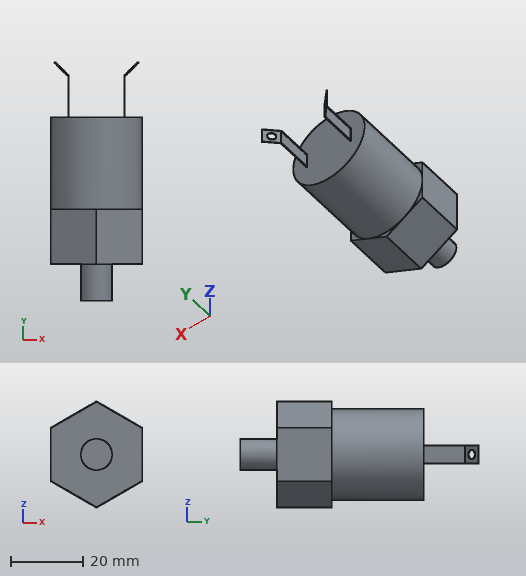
import cadquery as cq
import math

HEX_SIDES = 6
ACROSS_FLATS = 25.4
HEX_LENGTH = 15.24

BODY_DIAMETER = ACROSS_FLATS
BODY_LENGTH = 25.4

PIN_DIAMETER = 8.636
PIN_LENGTH = 10.16

TERMINAL_REACH = 15.24
TERMINAL_WIDTH = 5.08
TERMINAL_THICKNESS = 0.254
TERMINAL_INNER_X = 7.62
BEND_ANGLE = math.radians(45)
TIP_REACH = 3.81
TERMINAL_HOLE_DIAMETER = 2.54

HEX_FRONT_Y = PIN_LENGTH
BODY_FRONT_Y = HEX_FRONT_Y + HEX_LENGTH
BODY_REAR_Y = BODY_FRONT_Y + BODY_LENGTH
TERMINAL_END_Y = BODY_REAR_Y + TERMINAL_REACH


def plane_facing_rear(y):
    """Sketch plane at a station along Y, extruding toward +Y; sketch x is Z."""
    return cq.Plane(origin=(0, y, 0), xDir=(0, 0, 1), normal=(0, 1, 0))


def cylinder(start_y, diameter, length):
    return cq.Workplane(plane_facing_rear(start_y)).circle(diameter / 2).extrude(length)


def hexagon():
    across_corners = ACROSS_FLATS / math.cos(math.pi / HEX_SIDES)
    sketch = cq.Workplane(plane_facing_rear(HEX_FRONT_Y)).polygon(HEX_SIDES, across_corners)
    return sketch.extrude(HEX_LENGTH)


def terminal():
    """Terminal on the +X side: a straight strip with a pierced, bent tip."""
    outer_x = TERMINAL_INNER_X + TERMINAL_THICKNESS
    across_x = TERMINAL_THICKNESS * math.cos(BEND_ANGLE)
    across_y = TERMINAL_THICKNESS * math.sin(BEND_ANGLE)
    corner_shift = TERMINAL_THICKNESS * math.tan(BEND_ANGLE / 2)

    inner_bend_y = TERMINAL_END_Y - TIP_REACH
    outer_bend_y = inner_bend_y - corner_shift
    tip_inner_x = TERMINAL_INNER_X + TIP_REACH * math.tan(BEND_ANGLE)
    strip = (
        cq.Workplane("XY")
        .moveTo(TERMINAL_INNER_X, BODY_REAR_Y)
        .lineTo(TERMINAL_INNER_X, inner_bend_y)
        .lineTo(tip_inner_x, TERMINAL_END_Y)
        .lineTo(tip_inner_x + across_x, TERMINAL_END_Y - across_y)
        .lineTo(outer_x, outer_bend_y)
        .lineTo(outer_x, BODY_REAR_Y)
        .close()
        .extrude(TERMINAL_WIDTH / 2, both=True)
    )

    hole_plane = cq.Plane(
        origin=((TERMINAL_INNER_X + tip_inner_x) / 2, (inner_bend_y + TERMINAL_END_Y) / 2, 0),
        xDir=(0, 0, 1),
        normal=(math.cos(BEND_ANGLE), -math.sin(BEND_ANGLE), 0),
    )
    hole = (
        cq.Workplane(hole_plane)
        .circle(TERMINAL_HOLE_DIAMETER / 2)
        .extrude(2 * TERMINAL_THICKNESS, both=True)
    )
    return strip.cut(hole)


pin = cylinder(0, PIN_DIAMETER, PIN_LENGTH)
body = cylinder(BODY_FRONT_Y, BODY_DIAMETER, BODY_LENGTH)
right_terminal = terminal()
left_terminal = right_terminal.mirror("YZ")

result = pin.union(hexagon()).union(body).union(right_terminal).union(left_terminal)